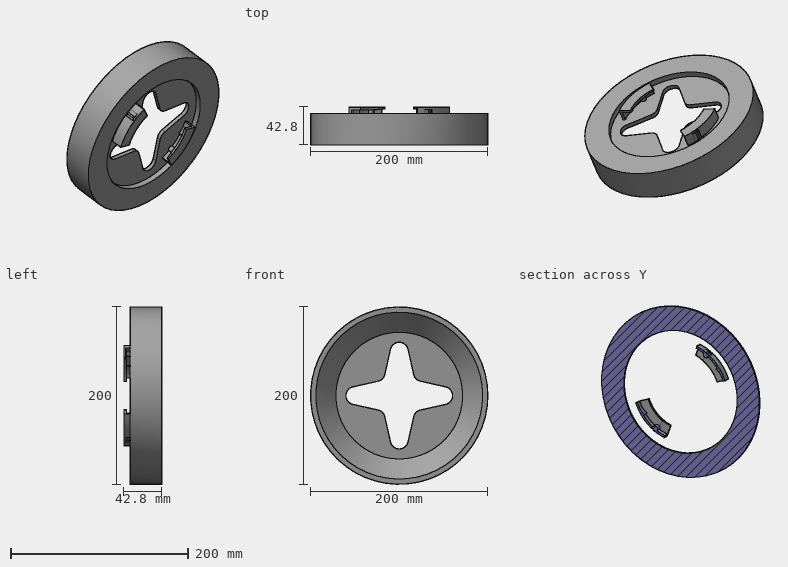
import cadquery as cq
import math

outer_radius = 100.0
mouth_radius = 94.0
floor_radius = 71.5
body_depth = 35.8
floor_depth = 24.2
floor_thickness = 4.8
recess_radius = floor_radius

star_reach = 60.0
tip_radius = 10.0
valley_radius = 10.0
flank_angle = 12.7

hook_height = 7.0
hook_outer_radius = 60.5
hook_wall = 3.0
lip_inner_radius = 46.5
lip_thickness = 3.0
lip_lead_thickness = 1.8
hook_start = 20.0
hook_end = 70.0
lead_angle = 11.0

stop_start = 26.0
stop_end = 36.0
stop_depth = 2.0
bump_angle = 56.0
bump_radius = 3.5
relief_start = 52.6
relief_end = 61.0
relief_top_gap = 2.5
relief_depth = 1.2

overlap = 0.5
recess_floor = floor_depth + floor_thickness
wall_inner_radius = hook_outer_radius - hook_wall
hook_top = body_depth + hook_height
lip_bottom = hook_top - lip_thickness


def polar(radius, angle):
    """Point in the XZ plane."""
    turn = math.radians(angle)
    return (radius * math.cos(turn), radius * math.sin(turn))


def plane_at(y):
    """XZ sketch plane whose extrusions run towards +Y."""
    return cq.Workplane("XZ", origin=(0, y, 0))


def extrude_back(sketch, depth):
    return sketch.extrude(-depth)


def sector(inner, outer, start, end, bottom, top):
    """Part of a flat ring between two angles and two Y levels."""
    middle = (start + end) / 2
    outline = (
        plane_at(bottom)
        .moveTo(*polar(inner, start))
        .lineTo(*polar(outer, start))
        .threePointArc(polar(outer, middle), polar(outer, end))
        .lineTo(*polar(inner, end))
        .threePointArc(polar(inner, middle), polar(inner, start))
        .close()
    )
    return extrude_back(outline, top - bottom)


def ramp(radius, start, end, depth, bottom, top):
    """Sliver that leaves a cylinder smoothly at start and lies depth inside it at end."""
    middle = (start + end) / 2
    outline = (
        plane_at(bottom)
        .moveTo(*polar(radius, start))
        .threePointArc(polar(radius - depth / 4, middle), polar(radius - depth, end))
        .lineTo(*polar(radius + overlap, end))
        .lineTo(*polar(radius + overlap, start))
        .close()
    )
    return extrude_back(outline, top - bottom)


def make_body():
    profile = [
        (0, floor_depth),
        (floor_radius, floor_depth),
        (mouth_radius, 0),
        (outer_radius, 0),
        (outer_radius, body_depth),
        (recess_radius, body_depth),
        (recess_radius, recess_floor),
        (0, recess_floor),
    ]
    return cq.Workplane("XY").polyline(profile).close().revolve(360, (0, 0), (0, 1))


def make_star():
    slope = math.radians(flank_angle)
    tip_center = star_reach - tip_radius
    tangent_x = tip_center + tip_radius * math.sin(slope)
    tangent_z = tip_radius * math.cos(slope)
    valley = (tangent_z + tangent_x * math.tan(slope)) / (1 + math.tan(slope))
    arm = (
        plane_at(0)
        .moveTo(0, 0)
        .lineTo(valley, -valley)
        .lineTo(tangent_x, -tangent_z)
        .threePointArc((star_reach, 0), (tangent_x, tangent_z))
        .lineTo(valley, valley)
        .close()
    )
    arm = extrude_back(arm, body_depth)
    star = arm
    for turn in (90, 180, 270):
        star = star.union(arm.rotate((0, 0, 0), (0, 1, 0), turn))
    half_box = valley + overlap
    valley_edges = cq.selectors.BoxSelector(
        (-half_box, 0, -half_box), (half_box, body_depth, half_box)
    )
    return star.clean().edges("|Y").edges(valley_edges).fillet(valley_radius)


def make_lead_in():
    """Wedge that thins the lip towards its free end."""
    rise = lip_thickness - lip_lead_thickness
    width = wall_inner_radius * math.tan(math.radians(lead_angle))
    wedge = (
        cq.Workplane("XY")
        .polyline([(0, lip_bottom), (width, lip_bottom), (0, lip_bottom + rise)])
        .close()
        .extrude(wall_inner_radius)
    )
    return wedge.rotate((0, 0, 0), (0, 1, 0), 90 - hook_end)


def make_hook():
    root = recess_floor - overlap
    wall = sector(wall_inner_radius, hook_outer_radius, hook_start, hook_end, root, hook_top)
    lip = sector(lip_inner_radius, hook_outer_radius, hook_start, hook_end, lip_bottom, hook_top)
    lip = lip.cut(make_lead_in())
    stop = ramp(
        wall_inner_radius, stop_start, stop_end, stop_depth, root, lip_bottom + overlap
    )
    bump = plane_at(root).center(*polar(wall_inner_radius, bump_angle)).circle(bump_radius)
    bump = extrude_back(bump, lip_bottom + overlap - root)
    relief = ramp(
        hook_outer_radius, relief_end, relief_start, relief_depth,
        recess_floor, hook_top - relief_top_gap,
    )
    return wall.union(lip).union(stop).union(bump).cut(relief)


result = make_body().cut(make_star())
hook = make_hook()
for turn in (0, 180):
    result = result.union(hook.rotate((0, 0, 0), (0, 1, 0), turn))